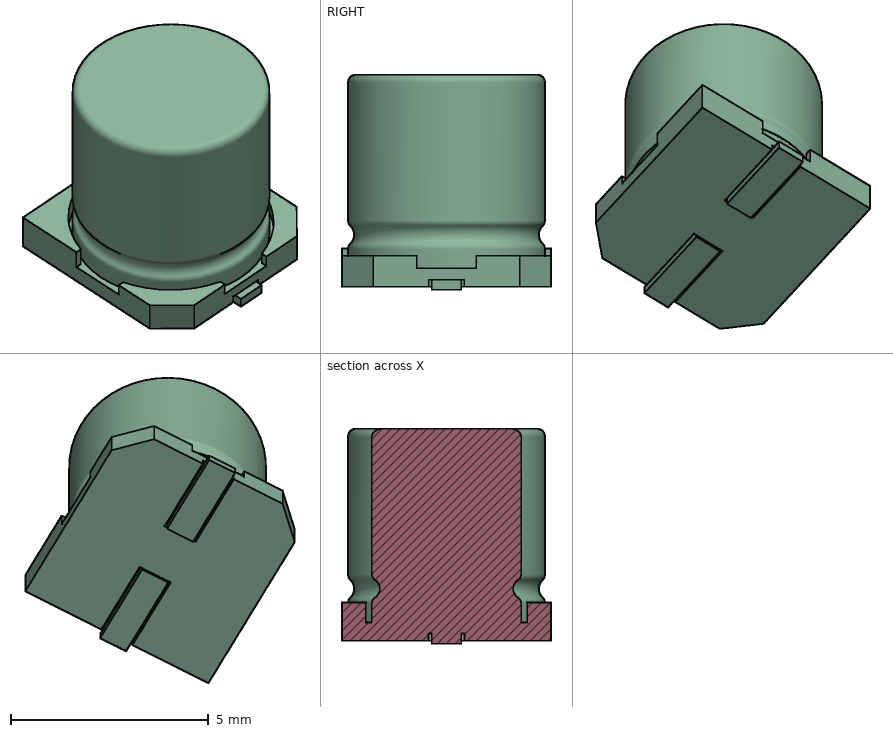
import cadquery as cq
import math


total_height = 5.45
lead_span = 5.7

base_side = 5.3
standoff = 0.075
tall_corner_top = 1.05
low_corner_top = 0.86
base_floor = 0.55
corner_cut = 0.79
pocket_radius = 2.6
gap_width = 1.5

can_radius = 2.495
top_fillet = 0.2
groove_center = 1.395
groove_radius = 0.315
lip_radius = 0.175
groove_depth = 0.155

lead_width = 0.75
lead_top = 0.26
lead_inner_x = 0.65
slot_width = 0.9


def centered_box(size_x, size_y, bottom, top, center_x=0.0):
    """Box centred on Y = 0, between two Z levels."""
    return (
        cq.Workplane("XY", origin=(center_x, 0, bottom))
        .rect(size_x, size_y)
        .extrude(top - bottom)
    )


def make_base():
    base = centered_box(base_side, base_side, standoff, tall_corner_top)
    base = base.edges("|Z and >X").chamfer(corner_cut)

    half_side = base_side / 2
    base = base.cut(centered_box(half_side, base_side, low_corner_top, tall_corner_top, half_side / 2))

    recess_depth = tall_corner_top - base_floor
    recess = cq.Workplane("XY", origin=(0, 0, base_floor)).circle(pocket_radius).extrude(recess_depth)
    base = base.cut(recess)
    base = base.cut(centered_box(base_side, gap_width, base_floor, tall_corner_top))
    base = base.cut(centered_box(gap_width, base_side, base_floor, tall_corner_top))

    slot_length = half_side - lead_inner_x
    for side in (-1, 1):
        slot_center = side * (lead_inner_x + slot_length / 2)
        base = base.cut(centered_box(slot_length, slot_width, standoff, lead_top, slot_center))
    return base


def make_can():
    radius_sum = groove_radius + lip_radius
    turn = math.acos(1 - groove_depth / radius_sum)
    groove_floor = can_radius - groove_depth
    half_height = radius_sum * math.sin(turn)

    joint_height = groove_radius * math.sin(turn)
    joint_radius = groove_floor + groove_radius * (1 - math.cos(turn))
    lip_mid_height = half_height - lip_radius * math.sin(turn / 2)
    lip_mid_radius = can_radius - lip_radius * (1 - math.cos(turn / 2))

    profile = (
        cq.Workplane("XZ")
        .moveTo(0, base_floor)
        .lineTo(can_radius, base_floor)
        .lineTo(can_radius, groove_center - half_height)
        .threePointArc(
            (lip_mid_radius, groove_center - lip_mid_height),
            (joint_radius, groove_center - joint_height),
        )
        .threePointArc(
            (groove_floor, groove_center),
            (joint_radius, groove_center + joint_height),
        )
        .threePointArc(
            (lip_mid_radius, groove_center + lip_mid_height),
            (can_radius, groove_center + half_height),
        )
        .lineTo(can_radius, total_height)
        .lineTo(0, total_height)
        .close()
    )
    can = profile.revolve(360, (0, 0, 0), (0, 1, 0))
    return can.faces(">Z").edges().fillet(top_fillet)


def make_lead(side):
    length = lead_span / 2 - lead_inner_x
    center_x = side * (lead_inner_x + length / 2)
    return centered_box(length, lead_width, 0, lead_top, center_x)


result = make_base().union(make_can()).union(make_lead(-1)).union(make_lead(1))